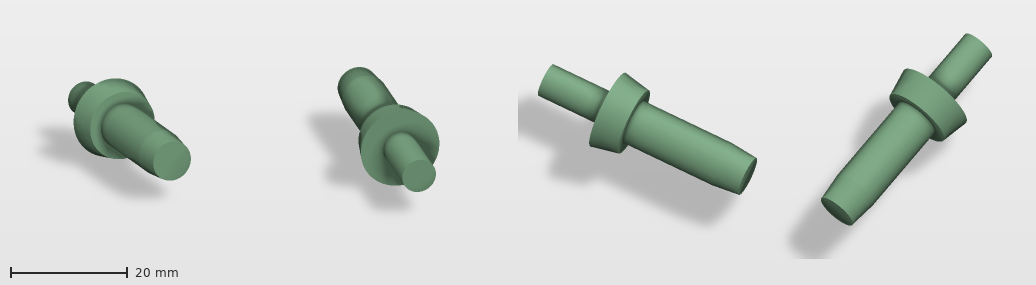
import cadquery as cq

spigot_diameter = 6.0
collar_large_diameter = 14.0
collar_small_diameter = 12.0
shank_diameter = 8.0
tip_diameter = 7.0

spigot_length = 12.0
collar_length = 5.0
shank_length = 17.0
tip_length = 5.0

collar_start = spigot_length
collar_end = collar_start + collar_length
tip_start = collar_end + shank_length
tip_end = tip_start + tip_length


def turned_pin():
    """Revolve the half profile of the stepped pin about the X axis."""
    half_profile = (
        cq.Workplane("XZ")
        .moveTo(0, 0)
        .lineTo(0, spigot_diameter / 2)
        .lineTo(collar_start, spigot_diameter / 2)
        .lineTo(collar_start, collar_large_diameter / 2)
        .lineTo(collar_end, collar_small_diameter / 2)
        .lineTo(collar_end, shank_diameter / 2)
        .lineTo(tip_start, shank_diameter / 2)
        .lineTo(tip_end, tip_diameter / 2)
        .lineTo(tip_end, 0)
        .close()
    )
    return half_profile.revolve(360, (0, 0, 0), (1, 0, 0))


result = turned_pin()